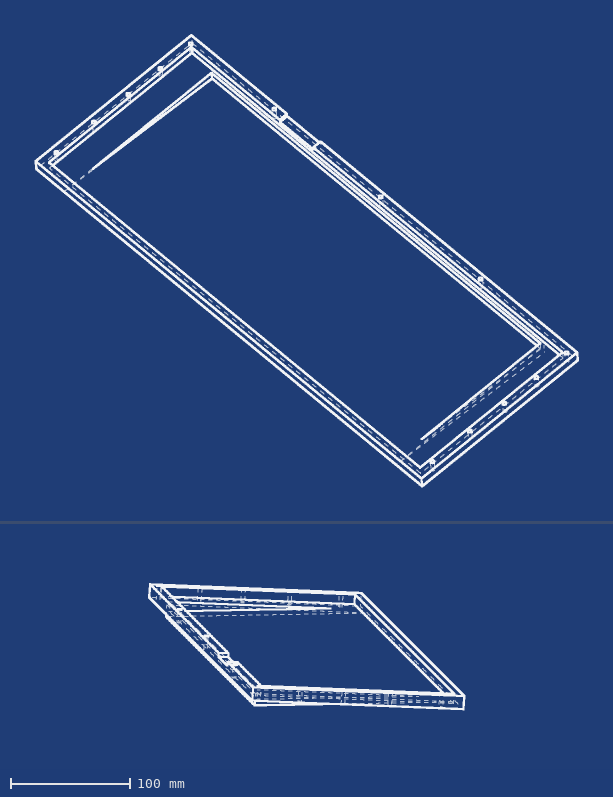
import cadquery as cq
import math

TRAY_WIDTH = 470.0
TRAY_LENGTH = 181.0
TRAY_HEIGHT = 11.5
FLOOR_THICKNESS = 3.0
SIDE_RIM = 9.0
BACK_RIM = 8.5
FRONT_RIM = 7.0
TRAY_TILT = 4.35

POCKET_WIDTH = 400.5
POCKET_SHIFT = 1.0
POCKET_FRONT = 32.0
POCKET_BACK = 169.5
POCKET_WALL = 2.0
WEDGE_FRONT = 0.0
WEDGE_ANGLE = 3.36

NOTCH_LEFT = -118.5
NOTCH_WIDTH = 41.0
NOTCH_DEPTH = 3.5

HOLE_DIAMETER = 3.1
SIDE_HOLE_INSET = 6.0
SIDE_HOLE_PLACES = (18.5, 62.0, 102.0, 139.0, 174.5)
BACK_HOLE_INSET = 4.0
BACK_HOLE_PLACES = (-129.5, 0.0, 121.5)


def block(x_min, x_max, y_min, y_max, z_min, z_max):
    """Box given by its limits."""
    size = (x_max - x_min, y_max - y_min, z_max - z_min)
    return cq.Workplane("XY").box(*size, centered=False).translate((x_min, y_min, z_min))


def wedge(width, front, back, top):
    """Triangular prism with a flat top that deepens from nothing at the front to the back."""
    depth = (back - front) * math.tan(math.radians(WEDGE_ANGLE))
    profile = [(front, top), (back, top), (back, top - depth)]
    prism = cq.Workplane("YZ").polyline(profile).close().extrude(width / 2, both=True)
    return prism.translate((POCKET_SHIFT, 0, 0))


def tray():
    """Shallow tray with an open top."""
    half_width = TRAY_WIDTH / 2
    inner_half = half_width - SIDE_RIM
    outer = block(-half_width, half_width, 0, TRAY_LENGTH, 0, TRAY_HEIGHT)
    cavity = block(
        -inner_half, inner_half, FRONT_RIM, TRAY_LENGTH - BACK_RIM, FLOOR_THICKNESS, TRAY_HEIGHT
    )
    return outer.cut(cavity)


def notch():
    """Cutter for the shallow gap in the top of the back rim."""
    return block(
        NOTCH_LEFT, NOTCH_LEFT + NOTCH_WIDTH,
        TRAY_LENGTH - BACK_RIM, TRAY_LENGTH,
        TRAY_HEIGHT - NOTCH_DEPTH, TRAY_HEIGHT,
    )


def screw_holes():
    """Cutters for the holes along both side rims and the back rim."""
    side_x = TRAY_WIDTH / 2 - SIDE_HOLE_INSET
    points = [(x, y) for x in (-side_x, side_x) for y in SIDE_HOLE_PLACES]
    points += [(x, TRAY_LENGTH - BACK_HOLE_INSET) for x in BACK_HOLE_PLACES]
    return cq.Workplane("XY").pushPoints(points).circle(HOLE_DIAMETER / 2).extrude(TRAY_HEIGHT)


support = wedge(POCKET_WIDTH + 2 * POCKET_WALL, WEDGE_FRONT, POCKET_BACK + POCKET_WALL, 0)
pocket = wedge(POCKET_WIDTH, POCKET_FRONT, POCKET_BACK, FLOOR_THICKNESS)

flat_part = tray().union(support).cut(pocket).cut(notch()).cut(screw_holes())
result = flat_part.rotate((0, 0, 0), (1, 0, 0), TRAY_TILT)